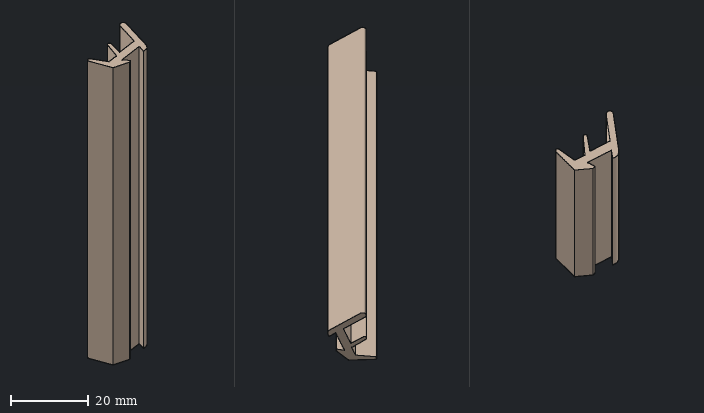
import cadquery as cq
import math

LENGTH = 100.0
WIDTH = 11.8
HEIGHT = 18.0
LEFT = -WIDTH / 2
RIGHT = WIDTH / 2
TOP = HEIGHT / 2
BOTTOM = -HEIGHT / 2

WEB_RIGHT = 3.8
WEB_LEFT = WEB_RIGHT - 2.4
WEB_LEFT_BELOW_FIN = WEB_LEFT + 0.3

FLANGE_ANGLE = math.radians(19.8)
FLANGE_TIP_RADIUS = 0.95
FLANGE_TIP_CENTRE = (LEFT + FLANGE_TIP_RADIUS, TOP - FLANGE_TIP_RADIUS)
FLANGE_NOSE_RADIUS = 1.8

SMALL_TIP_RADIUS = 0.55
SMALL_TIP_LEFT = -3.18
SMALL_TIP_X = SMALL_TIP_LEFT + SMALL_TIP_RADIUS

FIN_TIP_CENTRE = (SMALL_TIP_X, -0.35)
FIN_ROOT_TOP = (WEB_LEFT, -1.1)
FIN_ROOT_BOTTOM = (WEB_LEFT_BELOW_FIN, -2.75)

LIP_TIP_CENTRE = (SMALL_TIP_X, BOTTOM + SMALL_TIP_RADIUS)
LIP_ROOT_TOP = (WEB_LEFT_BELOW_FIN, -5.75)
HEEL = (4.05, -7.05)
BARB_ROOT = (WEB_RIGHT, -3.1)
BARB_TIP_INNER = (5.7, -1.9)
BARB_TIP_OUTER = (RIGHT, -2.6)


def flange_face_y(x, side):
    """Height at x of the flange's upper face (side = 1) or underside (side = -1)."""
    centre_x, centre_y = FLANGE_TIP_CENTRE
    axis_y = centre_y - (x - centre_x) * math.tan(FLANGE_ANGLE)
    return axis_y + side * FLANGE_TIP_RADIUS / math.cos(FLANGE_ANGLE)


def tangent_point(root, centre, radius, side):
    """Point where a line from root touches the upper (side = 1) or lower (side = -1) tip circle.

    The root lies to the right of the circle.
    """
    dx = root[0] - centre[0]
    dy = root[1] - centre[1]
    angle = math.atan2(dy, dx) + side * math.acos(radius / math.hypot(dx, dy))
    return (centre[0] + radius * math.cos(angle), centre[1] + radius * math.sin(angle))


def add_round_tip(path, centre, radius, upper_root, lower_root):
    """Draw along the lower face, round the left-hand tip and back to the upper root."""
    upper = tangent_point(upper_root, centre, radius, 1)
    lower = tangent_point(lower_root, centre, radius, -1)
    leftmost = (centre[0] - radius, centre[1])
    return path.lineTo(*lower).threePointArc(leftmost, upper).lineTo(*upper_root)


def round_corner(body, corner, radius):
    """Fillet the lengthwise edge that passes through a profile corner."""
    nearest = cq.selectors.NearestToPointSelector((*corner, LENGTH / 2))
    return body.edges("|Z").edges(nearest).fillet(radius)


flange_nose = (RIGHT, flange_face_y(RIGHT, 1))
flange_root = (WEB_LEFT, flange_face_y(WEB_LEFT, -1))

profile = cq.Workplane("XY").moveTo(*flange_nose)
profile = profile.lineTo(RIGHT, flange_face_y(RIGHT, -1))
profile = profile.lineTo(WEB_RIGHT, flange_face_y(WEB_RIGHT, -1))
profile = profile.lineTo(*BARB_ROOT)
profile = profile.lineTo(*BARB_TIP_INNER)
profile = profile.lineTo(*BARB_TIP_OUTER)
profile = profile.lineTo(*HEEL)

profile = add_round_tip(profile, LIP_TIP_CENTRE, SMALL_TIP_RADIUS, LIP_ROOT_TOP, HEEL)
profile = profile.lineTo(*FIN_ROOT_BOTTOM)
profile = add_round_tip(profile, FIN_TIP_CENTRE, SMALL_TIP_RADIUS, FIN_ROOT_TOP, FIN_ROOT_BOTTOM)
profile = profile.lineTo(*flange_root)
profile = add_round_tip(profile, FLANGE_TIP_CENTRE, FLANGE_TIP_RADIUS, flange_nose, flange_root)

result = profile.close().extrude(LENGTH)
result = round_corner(result, flange_nose, FLANGE_NOSE_RADIUS)